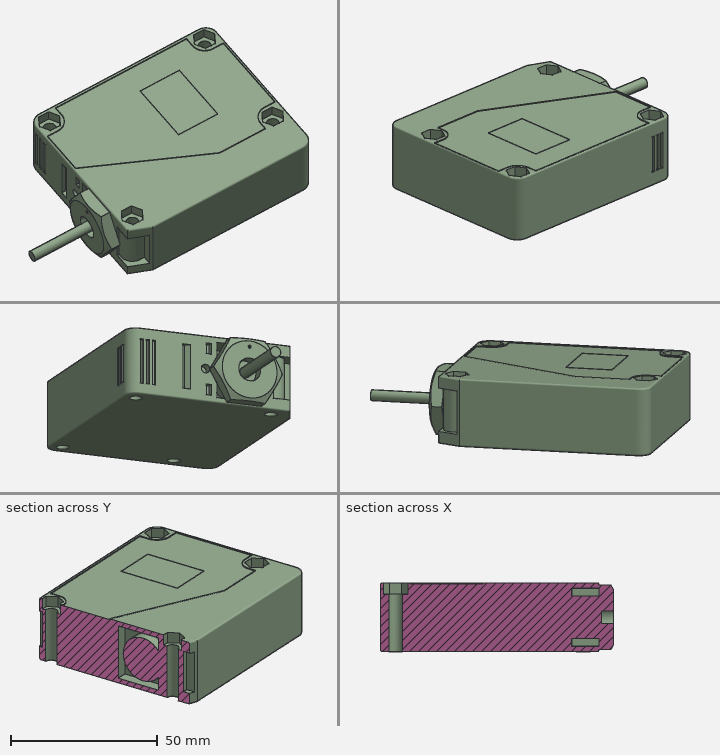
import cadquery as cq
import math


total_length = 102.0
width = 63.0
length = 74.4
height = 23.5
top = height / 2
corner_radius = 4.4
bevel_x = 3.5
bevel_y = 8.2
rim_radius = 0.6

hole_diameter = 4.5
nut_pocket_flats = 7.1
nut_pocket_depth = 3.9
hole_left = 4.9
hole_right = 54.8
hole_back_right = 46.0
hole_front = 5.3
hole_back = 69.2
screw_holes = [
    (hole_left, hole_front),
    (hole_left, hole_back),
    (hole_back_right, hole_back),
    (hole_right, hole_front),
]

panel_depth = 0.3
panel_left = 1.2
panel_right = 48.9
panel_front = 1.0
panel_back = 73.4
panel_bend_y = 45.3
panel_tip_x = 26.8
pad_radius = 5.0
label_depth = 0.1
label_x = (11.1, 34.3)
label_y = (38.4, 54.5)

joint_x = 50.7
joint_bend_y = 44.9
joint_front_x = 28.7
tongue_depth = 1.6
tongue_left = 22.8
tongue_step_x = 25.0
tongue_head_half = 7.9
tongue_neck_half = 5.4

latch_left = 20.0
latch_ramp_x = 21.2
tongue_pocket_right = 30.5
tongue_pocket_top = 9.2
tongue_pocket_depth = 2.0
pin_hole_x = 28.4
pin_hole_diameter = 3.1
pin_hole_depth = 3.1

slot_width = 1.1
front_slots_x = (4.8, 7.0, 9.4)
front_slot_depth = 1.2
front_slot_height = 15.7
side_slots_y = (5.3, 7.2, 9.4)
side_slot_depths = (1.2, 0.9, 0.7)
side_slot_height = 13.3

lens_thickness = 1.0
frame_y = (18.4, 65.2)
frame_height = 17.6
lens_y = (19.9, 63.6)
lens_height = 14.5

notch_left = 53.4
notch_depth = 7.1
notch_height = 15.1
column_radius = 4.6

gland_x = 42.5
gland_pocket_left = 32.5
gland_pocket_right = 49.0
gland_pocket_height = 19.6
gland_pocket_depth = 9.2
stem_diameter = 16.3
gland_flats = 22.0
gland_length = 5.0
gland_face_diameter = 20.2
gland_chamfer_length = 1.5
gland_bore_diameter = 8.1
gland_bore_depth = 4.1
gland_mark_z = 8.1
gland_mark_diameter = 1.0
gland_mark_depth = 1.0
cable_diameter = 3.8


def box(x, y, z):
    """Block spanning the given (low, high) pairs along each axis."""
    size = [high - low for low, high in (x, y, z)]
    return cq.Workplane("XY").box(*size, centered=False).translate((x[0], y[0], z[0]))


def centred_box(x, y, z_size):
    """Block spanning x and y, centred on mid-height."""
    return box(x, y, (-z_size / 2, z_size / 2))


def rod(x, z, diameter, y_start, y_end):
    """Cylinder along Y between two Y positions."""
    start = cq.Workplane("XZ", origin=(x, y_start, z))
    return start.circle(diameter / 2).extrude(y_start - y_end)


def inlay(body, insert):
    """Separate the faces of a flush insert from the body around it, keeping one solid."""
    flush_part = body.intersect(insert, clean=False)
    return body.cut(insert, clean=False).union(flush_part, clean=False)


def make_housing():
    outline = [(0, 0), (width - bevel_x, 0), (width, bevel_y), (width, length), (0, length)]
    body = cq.Workplane("XY").workplane(offset=-top).polyline(outline).close().extrude(height)
    body = body.edges("|Z and (<X or (>X and >Y))").fillet(corner_radius)
    return body.faces("<Z or >Z").edges().fillet(rim_radius)


def panel_recess():
    left_pad_edge = hole_left + pad_radius
    outline = (
        cq.Workplane("XY")
        .workplane(offset=top - panel_depth)
        .moveTo(left_pad_edge, panel_front)
        .lineTo(panel_tip_x, panel_front)
        .lineTo(panel_right, panel_bend_y)
        .lineTo(panel_right, hole_back - pad_radius)
        .lineTo(hole_back_right, hole_back - pad_radius)
        .radiusArc((hole_back_right - pad_radius, hole_back), pad_radius)
        .lineTo(hole_back_right - pad_radius, panel_back)
        .lineTo(left_pad_edge, panel_back)
        .lineTo(left_pad_edge, hole_back)
        .radiusArc((hole_left, hole_back - pad_radius), pad_radius)
        .lineTo(panel_left, hole_back - pad_radius)
        .lineTo(panel_left, hole_front + pad_radius)
        .lineTo(hole_left, hole_front + pad_radius)
        .radiusArc((left_pad_edge, hole_front), pad_radius)
        .close()
    )
    floor = top - panel_depth
    return outline.extrude(panel_depth).union(box(label_x, label_y, (floor - label_depth, floor)))


def screw_cuts():
    holes = cq.Workplane("XY").workplane(offset=-top).pushPoints(screw_holes)
    cuts = holes.circle(hole_diameter / 2).extrude(height)
    hexagon = cq.Sketch().regularPolygon(nut_pocket_flats / math.sqrt(3), 6)
    pockets = cq.Workplane("XY").workplane(offset=top - nut_pocket_depth).pushPoints(screw_holes)
    return cuts.union(pockets.placeSketch(hexagon).extrude(nut_pocket_depth))


def vent_slots():
    slots = cq.Workplane("XY")
    for x in front_slots_x:
        x_range = (x - slot_width / 2, x + slot_width / 2)
        slots = slots.add(centred_box(x_range, (0, front_slot_depth), front_slot_height))
    for y, depth in zip(side_slots_y, side_slot_depths):
        y_range = (y - slot_width / 2, y + slot_width / 2)
        slots = slots.add(centred_box((0, depth), y_range, side_slot_height))
    return slots.combine()


def tongue_pockets():
    latch_outline = [
        (latch_left, 0),
        (tongue_left, 0),
        (latch_ramp_x, tongue_depth),
        (latch_left, tongue_depth),
    ]
    latch = cq.Workplane("XY").polyline(latch_outline).close().extrude(tongue_head_half, both=True)
    upper = box(
        (joint_front_x, tongue_pocket_right),
        (0, tongue_pocket_depth),
        (tongue_neck_half, tongue_pocket_top),
    )
    pin_hole = rod(pin_hole_x, 0, pin_hole_diameter, 0, pin_hole_depth)
    return latch.union(upper).union(upper.mirror("XY")).union(pin_hole)


def column_notch():
    notch = centred_box((notch_left, width), (0, notch_depth), notch_height)
    column = (
        cq.Workplane("XY")
        .workplane(offset=-top)
        .center(hole_right, hole_front)
        .circle(column_radius)
        .extrude(height)
    )
    wall = centred_box((notch_left, hole_right), (hole_front - column_radius, notch_depth), height)
    web_x = (hole_right, hole_right + column_radius)
    web = centred_box(web_x, (hole_front, notch_depth), height)
    return notch.cut(column).cut(wall).cut(web)


def gland_pocket():
    x_range = (gland_pocket_left, gland_pocket_right)
    pocket = centred_box(x_range, (0, gland_pocket_depth), gland_pocket_height)
    return pocket.cut(rod(gland_x, 0, stem_diameter, 0, gland_pocket_depth))


def cover_region():
    plan = [
        (joint_front_x, 0),
        (joint_x, joint_bend_y),
        (joint_x, length),
        (width, length),
        (width, 0),
    ]
    region = cq.Workplane("XY").workplane(offset=-top).polyline(plan).close().extrude(height)
    tongue_y = (0, tongue_depth)
    head = centred_box((latch_ramp_x, tongue_step_x), tongue_y, 2 * tongue_head_half)
    neck = centred_box((tongue_step_x, tongue_pocket_right), tongue_y, 2 * tongue_neck_half)
    return region.union(head).union(neck)


def make_gland():
    corner_reach = gland_flats / math.sqrt(3)
    hexagon = cq.Sketch().regularPolygon(corner_reach, 6, angle=30)
    nut = cq.Workplane("XZ", origin=(gland_x, 0, 0)).placeSketch(hexagon).extrude(gland_length)
    envelope = (
        cq.Workplane("XY")
        .polyline([
            (0, 0),
            (corner_reach, 0),
            (corner_reach, gland_chamfer_length - gland_length),
            (gland_face_diameter / 2, -gland_length),
            (0, -gland_length),
        ])
        .close()
        .revolve(360, (0, 0, 0), (0, 1, 0))
        .translate((gland_x, 0, 0))
    )
    nut = nut.intersect(envelope)
    bore_end = gland_bore_depth - gland_length
    nut = nut.cut(rod(gland_x, 0, gland_bore_diameter, -gland_length, bore_end))
    mark_end = gland_mark_depth - gland_length
    nut = nut.cut(rod(gland_x, gland_mark_z, gland_mark_diameter, -gland_length, mark_end))
    return nut.union(rod(gland_x, 0, cable_diameter, length - total_length, bore_end))


lens_x = (0, lens_thickness)
housing = inlay(make_housing(), cover_region())
housing = inlay(housing, centred_box(lens_x, frame_y, frame_height))
housing = inlay(housing, centred_box(lens_x, lens_y, lens_height))

for cutter in (screw_cuts(), vent_slots(), tongue_pockets(), column_notch(), gland_pocket()):
    housing = housing.cut(cutter, clean=False)
housing = housing.cut(panel_recess(), clean=False)
result = housing.union(make_gland(), clean=False)